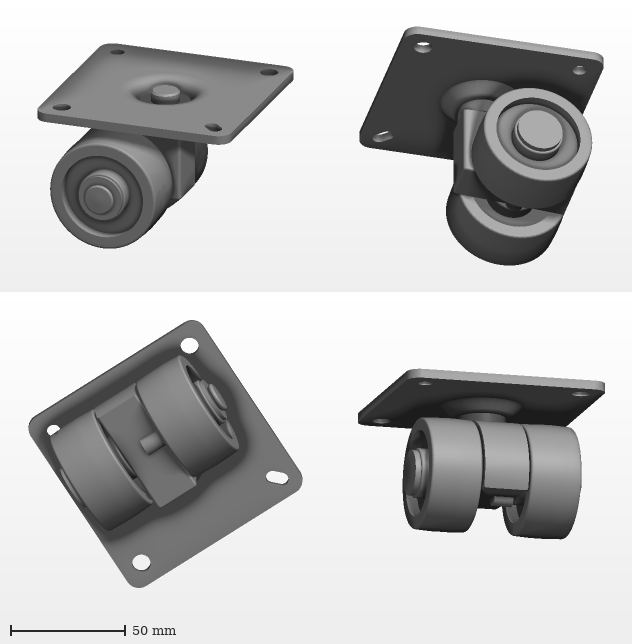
import cadquery as cq
import math


PLATE_SIDE = 90.0
PLATE_THICKNESS = 4.0
PLATE_CORNER_RADIUS = 6.0

HOLE_CIRCLE_RADIUS = 50.0
SMALL_HOLE_DIAMETER = 6.2
LARGE_HOLE_DIAMETER = 8.0
SLOT_WIDTH = 6.0
SLOT_TRAVEL = 4.0

DISH_RIM_RADIUS = 19.8
DISH_FLOOR_RADIUS = 11.0
DISH_FLOOR_DEPTH = 5.0
DISH_BASE_RADIUS = 13.2
DISH_BASE_BEND_RADIUS = 3.0
DISH_FLOOR_Z = -DISH_FLOOR_DEPTH
DISH_BASE_Z = DISH_FLOOR_Z - PLATE_THICKNESS

WHEEL_RADIUS = 25.0
WHEEL_WIDTH = 23.0
WHEEL_CROWN = 0.5
WHEEL_EDGE_RADIUS = 1.0
WHEEL_RECESS_RADIUS = 19.0
WHEEL_RECESS_DEPTH = 5.0
HUB_RADIUS = 11.0
HUB_PROJECTION = 1.0
HUB_EDGE_RADIUS = 0.8
HUB_LENGTH = WHEEL_WIDTH + 2 * HUB_PROJECTION

HOUSING_WIDTH = 20.0
HOUSING_RADIUS = 24.7
HOUSING_BACK_X = 10.5
HOUSING_FRONT_BOTTOM_Z = -50.2
HOUSING_BACK_BOTTOM_Z = -47.0
HOUSING_BACK_EDGE_RADIUS = 1.5
HOUSING_BOTTOM_EDGE_RADIUS = 1.0
RIB_RADIUS = 4.0
RIB_BOTTOM_Z = -52.4
RIB_LENGTH = 8.7
RIB_CENTER_Y = -4.4

AXLE_X = -17.0
AXLE_Z = -40.0
WHEEL_CENTER_Y = (HOUSING_WIDTH + HUB_LENGTH) / 2
HUB_OUTER_Y = HOUSING_WIDTH / 2 + HUB_LENGTH

AXLE_RADIUS = 5.3
AXLE_FLANGE_RADIUS = 10.0
AXLE_PLAIN_FLANGE_THICKNESS = 2.5
AXLE_RIVET_FLANGE_THICKNESS = 1.6
RIVET_NECK_LENGTH = 0.4
RIVET_RADIUS = 6.7
RIVET_FACE_RADIUS = 6.0
RIVET_RIM_OFFSET = 1.2
RIVET_FACE_OFFSET = 2.1
RIVET_HEIGHT = 2.5

PIN_RADIUS = 6.4
PIN_CHAMFER = 0.8
PIN_COLLAR_RADIUS = 10.5
PIN_COLLAR_CHAMFER = 0.3
PIN_DEPTH_IN_HOUSING = 15.0
HOUSING_TOP_Z = AXLE_Z + HOUSING_RADIUS
PIN_BOTTOM_Z = HOUSING_TOP_Z - PIN_DEPTH_IN_HOUSING


def upright_cylinder(radius, bottom_z, top_z):
    return cq.Workplane("XY").workplane(offset=bottom_z).circle(radius).extrude(top_z - bottom_z)


def cross_cylinder(radius, center_x, center_z, center_y, length):
    """Cylinder parallel to Y, centred at center_y."""
    start = cq.Workplane("XZ", origin=(center_x, center_y, center_z))
    return start.circle(radius).extrude(length / 2, both=True)


def on_wheel_axis(profile):
    """Revolve a closed (radius, y) profile about Y and move it to the wheel axis."""
    return profile.revolve(360, (0, 0), (0, 1)).translate((AXLE_X, 0, AXLE_Z))


def revolve_about_z(profile):
    return profile.revolve(360, (0, 0), (0, 1))


def dish_blank():
    """Solid of the dish outside, from the plate's top face down to the base."""
    top_radius = DISH_BASE_RADIUS - DISH_BASE_Z
    profile = cq.Workplane("XZ").polyline(
        [(0, 0), (top_radius, 0), (DISH_BASE_RADIUS, DISH_BASE_Z), (0, DISH_BASE_Z)]
    ).close()
    return revolve_about_z(profile).faces("<Z").edges().fillet(DISH_BASE_BEND_RADIUS)


def dish_hollow():
    """Space inside the dish: its wall is one bend, tangent to the plate's top face at the rim."""
    wall_span = DISH_RIM_RADIUS - DISH_FLOOR_RADIUS
    bend_radius = (wall_span**2 + DISH_FLOOR_DEPTH**2) / (2 * DISH_FLOOR_DEPTH)
    half_bend = math.asin(wall_span / bend_radius) / 2
    mid_bend = (
        DISH_RIM_RADIUS - bend_radius * math.sin(half_bend),
        -bend_radius * (1 - math.cos(half_bend)),
    )
    profile = (
        cq.Workplane("XZ")
        .moveTo(0, DISH_FLOOR_Z)
        .lineTo(DISH_FLOOR_RADIUS, DISH_FLOOR_Z)
        .threePointArc(mid_bend, (DISH_RIM_RADIUS, 0))
        .lineTo(0, 0)
        .close()
    )
    return revolve_about_z(profile)


def hole_cutter(diameter, side_x, side_y):
    offset = HOLE_CIRCLE_RADIUS / math.sqrt(2)
    cutter = upright_cylinder(diameter / 2, -PLATE_THICKNESS, 0)
    return cutter.translate((side_x * offset, side_y * offset, 0))


def slot_cutter():
    """Radial slot on the +X, -Y diagonal."""
    cutter = (
        cq.Workplane("XY")
        .center(HOLE_CIRCLE_RADIUS, 0)
        .slot2D(SLOT_TRAVEL + SLOT_WIDTH, SLOT_WIDTH)
        .extrude(-PLATE_THICKNESS)
    )
    return cutter.rotate((0, 0, 0), (0, 0, 1), -45)


def make_plate():
    plate = cq.Workplane("XY").rect(PLATE_SIDE, PLATE_SIDE).extrude(-PLATE_THICKNESS)
    plate = plate.edges("|Z").fillet(PLATE_CORNER_RADIUS)
    plate = plate.union(dish_blank()).cut(dish_hollow())
    plate = plate.cut(upright_cylinder(PIN_RADIUS, DISH_BASE_Z, DISH_FLOOR_Z))
    plate = plate.cut(hole_cutter(SMALL_HOLE_DIAMETER, -1, 1))
    plate = plate.cut(hole_cutter(LARGE_HOLE_DIAMETER, 1, 1))
    plate = plate.cut(hole_cutter(LARGE_HOLE_DIAMETER, -1, -1))
    return plate.cut(slot_cutter())


def make_kingpin():
    """Stud with a collar that spaces the housing from the plate."""
    pin = upright_cylinder(PIN_RADIUS, PIN_BOTTOM_Z, 0).faces(">Z").chamfer(PIN_CHAMFER)
    collar = upright_cylinder(PIN_COLLAR_RADIUS, HOUSING_TOP_Z, DISH_BASE_Z)
    return pin.union(collar.faces("<Z").chamfer(PIN_COLLAR_CHAMFER))


def make_housing():
    """Round-fronted block with a flat back, bored for the kingpin and the axle."""
    front_bottom_angle = math.asin((HOUSING_FRONT_BOTTOM_Z - AXLE_Z) / HOUSING_RADIUS)
    front_bottom_x = AXLE_X - HOUSING_RADIUS * math.cos(front_bottom_angle)
    housing = (
        cq.Workplane("XZ")
        .moveTo(AXLE_X, HOUSING_TOP_Z)
        .threePointArc((AXLE_X - HOUSING_RADIUS, AXLE_Z), (front_bottom_x, HOUSING_FRONT_BOTTOM_Z))
        .lineTo(HOUSING_BACK_X, HOUSING_BACK_BOTTOM_Z)
        .lineTo(HOUSING_BACK_X, HOUSING_TOP_Z)
        .close()
        .extrude(HOUSING_WIDTH / 2, both=True)
    )
    housing = housing.edges("|Z and >X").fillet(HOUSING_BACK_EDGE_RADIUS)
    housing = housing.faces(">X").edges("<Z").fillet(HOUSING_BOTTOM_EDGE_RADIUS)
    rib = cross_cylinder(RIB_RADIUS, AXLE_X, RIB_BOTTOM_Z + RIB_RADIUS, RIB_CENTER_Y, RIB_LENGTH)
    housing = housing.union(rib)
    housing = housing.cut(upright_cylinder(PIN_RADIUS, PIN_BOTTOM_Z, HOUSING_TOP_Z))
    return housing.cut(cross_cylinder(AXLE_RADIUS, AXLE_X, AXLE_Z, 0, HOUSING_WIDTH))


def make_wheel(center_y):
    """Crowned wheel, recessed on both faces around a projecting hub."""
    half_width = WHEEL_WIDTH / 2
    shoulder_radius = WHEEL_RADIUS - WHEEL_CROWN
    tread = on_wheel_axis(
        cq.Workplane("XY")
        .moveTo(0, -half_width)
        .lineTo(shoulder_radius, -half_width)
        .threePointArc((WHEEL_RADIUS, 0), (shoulder_radius, half_width))
        .lineTo(0, half_width)
        .close()
    )
    wheel = tread.faces("|Y").edges().fillet(WHEEL_EDGE_RADIUS)
    for side in (-1, 1):
        recess_y = side * (half_width - WHEEL_RECESS_DEPTH / 2)
        wheel = wheel.cut(
            cross_cylinder(WHEEL_RECESS_RADIUS, AXLE_X, AXLE_Z, recess_y, WHEEL_RECESS_DEPTH)
        )
    hub = cross_cylinder(HUB_RADIUS, AXLE_X, AXLE_Z, 0, HUB_LENGTH)
    wheel = wheel.union(hub.faces("|Y").edges().fillet(HUB_EDGE_RADIUS))
    wheel = wheel.cut(cross_cylinder(AXLE_RADIUS, AXLE_X, AXLE_Z, 0, HUB_LENGTH))
    return wheel.translate((0, center_y, 0))


def make_axle():
    """Shaft with a plain flange at +Y, and a flange with a riveted head at -Y."""
    plain_end_y = HUB_OUTER_Y + AXLE_PLAIN_FLANGE_THICKNESS
    rivet_flange_y = -HUB_OUTER_Y - AXLE_RIVET_FLANGE_THICKNESS
    rivet_y = rivet_flange_y - RIVET_NECK_LENGTH
    return on_wheel_axis(
        cq.Workplane("XY")
        .moveTo(0, plain_end_y)
        .lineTo(AXLE_FLANGE_RADIUS, plain_end_y)
        .lineTo(AXLE_FLANGE_RADIUS, HUB_OUTER_Y)
        .lineTo(AXLE_RADIUS, HUB_OUTER_Y)
        .lineTo(AXLE_RADIUS, -HUB_OUTER_Y)
        .lineTo(AXLE_FLANGE_RADIUS, -HUB_OUTER_Y)
        .lineTo(AXLE_FLANGE_RADIUS, rivet_flange_y)
        .lineTo(AXLE_RADIUS, rivet_flange_y)
        .lineTo(AXLE_RADIUS, rivet_y)
        .threePointArc(
            (RIVET_RADIUS, rivet_y - RIVET_RIM_OFFSET),
            (RIVET_FACE_RADIUS, rivet_y - RIVET_FACE_OFFSET),
        )
        .lineTo(0, rivet_y - RIVET_HEIGHT)
        .close()
    )


plate = make_plate()
kingpin = make_kingpin()
housing = make_housing()
axle = make_axle()
wheels = [make_wheel(side * WHEEL_CENTER_Y) for side in (-1, 1)]

result = cq.Compound.makeCompound(
    [plate.val(), kingpin.val(), housing.val(), axle.val(), *[wheel.val() for wheel in wheels]]
)